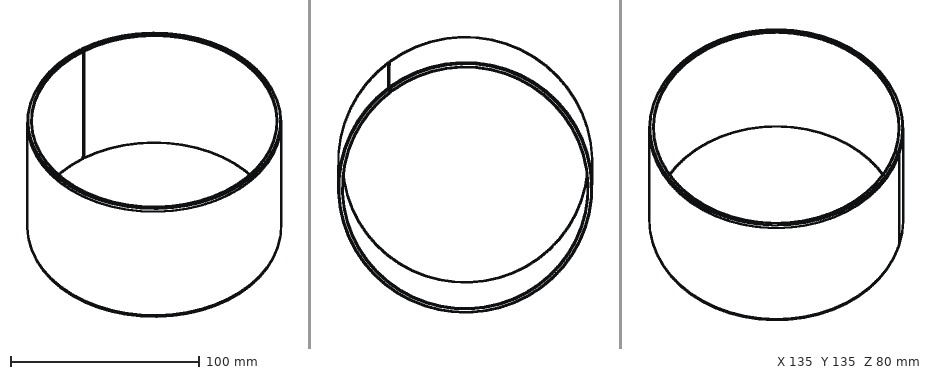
import cadquery as cq

outer_diameter = 135.0
inner_diameter = 130.0
height = 80.0
outer_chamfer_height = 1.6
outer_chamfer_width = 0.5
inner_chamfer = 0.4
split_width = 1.0

outer_radius = outer_diameter / 2
inner_radius = inner_diameter / 2


def wall_profile():
    """Radial section of the wall, with both ends chamfered inside and out."""
    return (
        cq.Workplane("XZ")
        .moveTo(inner_radius + inner_chamfer, 0)
        .lineTo(outer_radius - outer_chamfer_width, 0)
        .lineTo(outer_radius, outer_chamfer_height)
        .lineTo(outer_radius, height - outer_chamfer_height)
        .lineTo(outer_radius - outer_chamfer_width, height)
        .lineTo(inner_radius + inner_chamfer, height)
        .lineTo(inner_radius, height - inner_chamfer)
        .lineTo(inner_radius, inner_chamfer)
        .close()
    )


def split_cutter():
    """Thin slab, with one face on the XZ plane, that opens the wall on the -X side."""
    return cq.Workplane("XY").box(
        outer_diameter, split_width, height, centered=(True, False, False)
    ).translate((-outer_radius, 0, 0))


sleeve = wall_profile().revolve(360, (0, 0, 0), (0, 1, 0))
result = sleeve.cut(split_cutter())